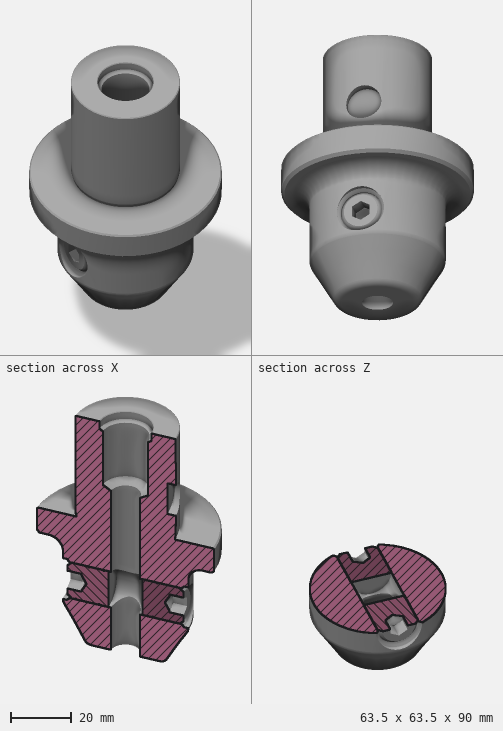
import cadquery as cq
import math

shank_radius = 18.0
shank_length = 40.0
shank_top_chamfer = 0.3
relief_height = 1.4
relief_depth = 0.3
relief_neck_height = 0.3

flange_radius = 31.75
flange_thickness = 10.0
flange_upper_chamfer = 0.5
flange_lower_chamfer = 1.0

collar_radius = 22.5
collar_root_radius = 5.0
collar_bottom_z = -35.0
collar_edge_radius = 2.5
selector_margin = 0.1
nose_bottom_z = -50.0
nose_half_angle = 30.0
nose_edge_radius = 3.0
nose_radius = collar_radius - (collar_bottom_z - nose_bottom_z) * math.tan(math.radians(nose_half_angle))

bore_radius = 5.1
cavity_radius = 8.0
cavity_depth = 25.0
cavity_tip_half_angle = 59.0
cavity_tip_length = (cavity_radius - bore_radius) / math.tan(math.radians(cavity_tip_half_angle))
mouth_radius = 9.2
mouth_depth = 3.0
mouth_floor_drop = 0.75
mouth_chamfer = 0.25

recess_radius = 6.0
recess_z = 15.5
recess_floor_y = 15.0

screw_z = -26.0
screw_radius = 7.0
screw_head_y = 20.8
screw_tip_y = 6.0
screw_chamfer = 1.25
socket_width = 6.0
socket_depth = 5.0
socket_tip_half_angle = 60.0
hole_mouth_radius = 8.05
hole_mouth_y = 21.0
hole_mouth_half_angle = 45.0
hole_cone_length = (hole_mouth_radius - screw_radius) / math.tan(math.radians(hole_mouth_half_angle))
cut_clearance = 1.0
clear_y = collar_radius + cut_clearance
screw_sides = [0.0, 180.0]


def make_turned_body():
    relief_radius = shank_radius - relief_depth
    root_arc_inset = collar_root_radius * (1 - math.cos(math.radians(45)))
    body = (
        cq.Workplane("XZ")
        .moveTo(0, shank_length)
        .lineTo(shank_radius - shank_top_chamfer, shank_length)
        .lineTo(shank_radius, shank_length - shank_top_chamfer)
        .lineTo(shank_radius, relief_height)
        .lineTo(relief_radius, relief_neck_height)
        .lineTo(relief_radius, 0)
        .lineTo(flange_radius - flange_upper_chamfer, 0)
        .lineTo(flange_radius, -flange_upper_chamfer)
        .lineTo(flange_radius, -flange_thickness + flange_lower_chamfer)
        .lineTo(flange_radius - flange_lower_chamfer, -flange_thickness)
        .lineTo(collar_radius + collar_root_radius, -flange_thickness)
        .threePointArc(
            (collar_radius + root_arc_inset, -flange_thickness - root_arc_inset),
            (collar_radius, -flange_thickness - collar_root_radius),
        )
        .lineTo(collar_radius, collar_bottom_z)
        .lineTo(nose_radius, nose_bottom_z)
        .lineTo(0, nose_bottom_z)
        .close()
        .revolve(360, (0, 0, 0), (0, 1, 0))
    )
    collar_edge = cq.selectors.BoxSelector(
        (-flange_radius, -flange_radius, collar_bottom_z - selector_margin),
        (flange_radius, flange_radius, collar_bottom_z + selector_margin),
        boundingbox=True,
    )
    body = body.edges(collar_edge).fillet(collar_edge_radius)
    return body.faces("<Z").edges().fillet(nose_edge_radius)


def make_axial_bore():
    cavity_bottom_z = shank_length - cavity_depth
    mouth_bottom_z = shank_length - mouth_depth
    return (
        cq.Workplane("XZ")
        .moveTo(0, shank_length)
        .lineTo(mouth_radius + mouth_chamfer, shank_length)
        .lineTo(mouth_radius, shank_length - mouth_chamfer)
        .lineTo(mouth_radius, mouth_bottom_z)
        .lineTo(cavity_radius, mouth_bottom_z - mouth_floor_drop)
        .lineTo(cavity_radius, cavity_bottom_z)
        .lineTo(bore_radius, cavity_bottom_z - cavity_tip_length)
        .lineTo(bore_radius, nose_bottom_z)
        .lineTo(0, nose_bottom_z)
        .close()
        .revolve(360, (0, 0, 0), (0, 1, 0))
    )


def make_shank_recess():
    depth = shank_radius - recess_floor_y
    plane = cq.Plane((0, recess_floor_y, recess_z), (1, 0, 0), (0, 1, 0))
    return cq.Workplane(plane).circle(recess_radius).extrude(depth)


def turn_about_screw_axis(points):
    """Revolve (radius, distance from Z axis) points about the screw axis on the -Y side."""
    outline = [(radius, -distance) for radius, distance in points]
    shape = cq.Workplane("XY").polyline(outline).close().revolve(360, (0, 0, 0), (0, 1, 0))
    return shape.translate((0, 0, screw_z))


def make_screw_hole(side):
    hole = turn_about_screw_axis([
        (0, 0),
        (screw_radius, 0),
        (screw_radius, hole_mouth_y - hole_cone_length),
        (hole_mouth_radius, hole_mouth_y),
        (hole_mouth_radius, clear_y),
        (0, clear_y),
    ])
    return hole.rotate((0, 0, 0), (0, 0, 1), side)


def make_screw(side):
    body = turn_about_screw_axis([
        (0, screw_tip_y),
        (screw_radius, screw_tip_y),
        (screw_radius, screw_head_y - screw_chamfer),
        (screw_radius - screw_chamfer, screw_head_y),
        (0, screw_head_y),
    ])
    corner_radius = socket_width / math.sqrt(3)
    socket_floor_y = screw_head_y - socket_depth
    head_plane = cq.Plane((0, -screw_head_y, screw_z), (0, 0, 1), (0, -1, 0))
    socket = cq.Workplane(head_plane).polygon(6, 2 * corner_radius).extrude(-socket_depth)
    drill_radius = socket_width / 2
    drill_tip = turn_about_screw_axis([
        (0, socket_floor_y),
        (drill_radius, socket_floor_y),
        (0, socket_floor_y - drill_radius / math.tan(math.radians(socket_tip_half_angle))),
    ])
    return body.cut(socket).cut(drill_tip).rotate((0, 0, 0), (0, 0, 1), side)


holder = make_turned_body().cut(make_axial_bore()).cut(make_shank_recess())
for side in screw_sides:
    holder = holder.cut(make_screw_hole(side))

screws = [make_screw(side).val() for side in screw_sides]

result = cq.Compound.makeCompound([holder.val(), *screws])